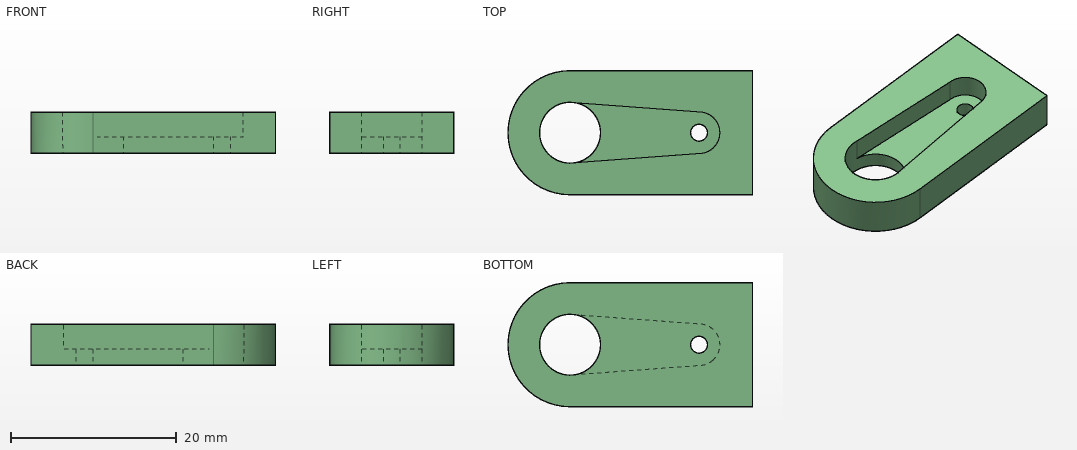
import cadquery as cq

length = 29.5
width = 15.0
thickness = 5.0
end_radius = width / 2

large_hole_radius = 3.65
large_hole_x = end_radius
small_hole_radius = 1.0
small_hole_x = 23.05

pocket_end_radius = 2.5
pocket_depth = 3.0


def make_plate():
    """Flat plate with one semicircular end and one square end."""
    return (
        cq.Workplane("XY")
        .moveTo(end_radius, -end_radius)
        .lineTo(length, -end_radius)
        .lineTo(length, end_radius)
        .lineTo(end_radius, end_radius)
        .threePointArc((0, 0), (end_radius, -end_radius))
        .close()
        .extrude(thickness)
    )


def make_pocket():
    """Straight-sided taper between the hole centres, with a semicircle at each end."""
    return (
        cq.Workplane("XY")
        .workplane(offset=thickness - pocket_depth)
        .moveTo(large_hole_x, -large_hole_radius)
        .lineTo(small_hole_x, -pocket_end_radius)
        .threePointArc((small_hole_x + pocket_end_radius, 0), (small_hole_x, pocket_end_radius))
        .lineTo(large_hole_x, large_hole_radius)
        .threePointArc((large_hole_x - large_hole_radius, 0), (large_hole_x, -large_hole_radius))
        .close()
        .extrude(pocket_depth)
    )


def make_hole(x, radius):
    """Cylinder through the full thickness, centred on the plate's width."""
    return cq.Workplane("XY").center(x, 0).circle(radius).extrude(thickness)


result = (
    make_plate()
    .cut(make_pocket())
    .cut(make_hole(large_hole_x, large_hole_radius))
    .cut(make_hole(small_hole_x, small_hole_radius))
)